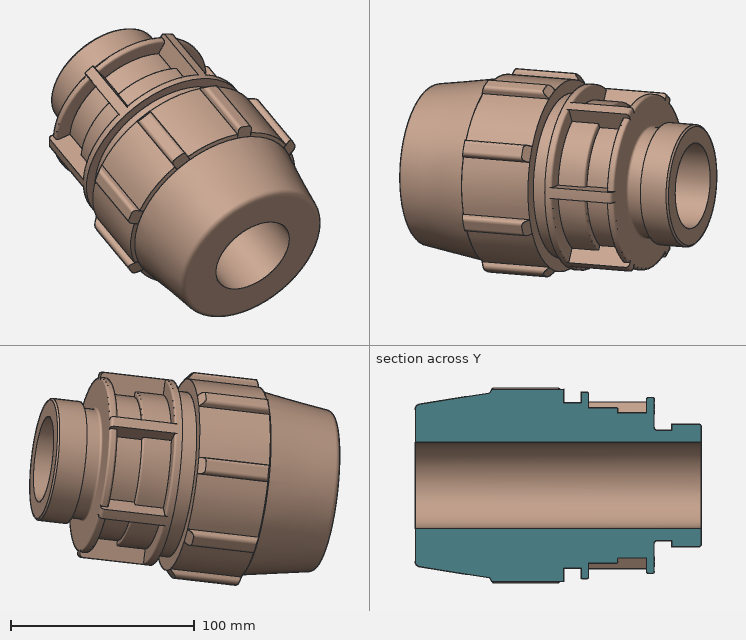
import cadquery as cq

total_length = 156.0
bore_diameter = 46.9

spigot_diameter = 67.0
spigot_length = 16.3
spigot_chamfer = 1.0
neck_diameter = 60.3
neck_root_diameter = 63.0

front_flange_start = 25.6
front_flange_end = 30.0
front_flange_diameter = 96.0
core_small_diameter = 79.2
core_step_position = 45.5
core_large_diameter = 84.8
core_step_fillet = 1.0
rear_flange_start = 61.4
rear_flange_end = 65.6
rear_flange_diameter = 101.7
flange_fillet = 1.2
cage_rib_count = 6
cage_rib_width = 6.0
cage_rib_fillet = 2.0
collar_diameter = 90.4

nut_start = 74.9
nut_cylinder_end = 114.4
nut_diameter = 105.0
nut_edge_width = 1.0
nut_edge_drop = 2.0
nut_tail_diameter = 88.0
nut_tail_fillet = 3.0

grip_rib_count = 8
grip_rib_width = 9.0
grip_rib_radius = 56.41
grip_rib_corner = 2.2
grip_rib_front_slope = 3.5
grip_rib_rear_slope = 2.0


def disc(start, end, diameter):
    """Solid cylinder along X between two positions."""
    return cq.Workplane("YZ", origin=(start, 0, 0)).circle(diameter / 2).extrude(end - start)


def about_axis(shape, angle):
    """Copy of the shape turned about the X axis, in degrees."""
    return shape.rotate((0, 0, 0), (1, 0, 0), angle)


def make_neck_root():
    """Concave quarter-round collar blending the neck into the front flange."""
    neck_radius = neck_diameter / 2
    root_radius = neck_root_diameter / 2
    blend = root_radius - neck_radius
    profile = (
        cq.Workplane("XY")
        .moveTo(front_flange_start - blend, 0)
        .lineTo(front_flange_start - blend, neck_radius)
        .radiusArc((front_flange_start, root_radius), -blend)
        .lineTo(front_flange_start, 0)
        .close()
    )
    return profile.revolve(360, (0, 0, 0), (1, 0, 0))


def make_spigot():
    """Chamfered spigot with the narrower neck behind it."""
    spigot = disc(0, spigot_length, spigot_diameter).faces("<X").edges().chamfer(spigot_chamfer)
    neck = disc(spigot_length, front_flange_start, neck_diameter)
    return spigot.union(neck).union(make_neck_root())


def make_cage_blank():
    """Cage filled out to the rib tops, with its -X rim rounded."""
    blank = disc(front_flange_start, rear_flange_end, rear_flange_diameter)
    return blank.faces("<X").edges().fillet(cage_rib_fillet)


def make_cage_core():
    """Round body of the cage: both flanges and the stepped core, without ribs."""
    front_flange = disc(front_flange_start, front_flange_end, front_flange_diameter)
    front_flange = front_flange.edges().fillet(flange_fillet)
    small_core = disc(front_flange_start, core_step_position, core_small_diameter)
    large_core = disc(core_step_position, rear_flange_start, core_large_diameter)
    large_core = large_core.faces("<X").edges().fillet(core_step_fillet)
    rear_flange = disc(rear_flange_start, rear_flange_end, rear_flange_diameter)
    rear_flange = rear_flange.faces("<X").edges().fillet(flange_fillet)
    return front_flange.union(small_core).union(large_core).union(rear_flange)


def make_cage():
    """Cage with a window between each pair of neighbouring ribs."""
    blank = make_cage_blank()
    windows = blank.cut(make_cage_core())
    length = rear_flange_end - front_flange_start
    bar = (
        cq.Workplane("XY")
        .box(length, rear_flange_diameter, cage_rib_width, centered=(False, True, True))
        .translate((front_flange_start, 0, 0))
    )
    for index in range(cage_rib_count // 2):
        windows = windows.cut(about_axis(bar, index * 360 / cage_rib_count))
    collar = disc(rear_flange_end, nut_start, collar_diameter)
    return blank.cut(windows).union(collar)


def make_grip_rib():
    """One rounded rib pointing along +Z, with both ends sloping down to the nut."""
    rear_end = nut_cylinder_end + nut_edge_width
    foot_radius = nut_diameter / 2
    rear_foot_radius = foot_radius - nut_edge_drop
    side = (
        cq.Workplane("XZ")
        .moveTo(nut_start, 0)
        .lineTo(nut_start, foot_radius)
        .lineTo(nut_start + grip_rib_front_slope, grip_rib_radius)
        .lineTo(rear_end - grip_rib_rear_slope, grip_rib_radius)
        .lineTo(rear_end, rear_foot_radius)
        .lineTo(rear_end, 0)
        .close()
        .extrude(grip_rib_width / 2, both=True)
    )
    section = (
        cq.Workplane("XY")
        .box(rear_end - nut_start, grip_rib_width, grip_rib_radius, centered=(False, True, False))
        .translate((nut_start, 0, 0))
        .edges("|X and >Z")
        .fillet(grip_rib_corner)
    )
    return side.intersect(section)


def make_nut():
    """Nut cylinder with a tapering tail and evenly spaced grip ribs."""
    radius = nut_diameter / 2
    edge_end = nut_cylinder_end + nut_edge_width
    body = (
        cq.Workplane("XY")
        .moveTo(nut_start, 0)
        .lineTo(nut_start, radius)
        .lineTo(nut_cylinder_end, radius)
        .lineTo(edge_end, radius - nut_edge_drop)
        .lineTo(total_length, nut_tail_diameter / 2)
        .lineTo(total_length, 0)
        .close()
        .revolve(360, (0, 0, 0), (1, 0, 0))
        .faces(">X")
        .edges()
        .fillet(nut_tail_fillet)
    )
    rib = make_grip_rib()
    for index in range(grip_rib_count):
        angle = (index + 0.5) * 360 / grip_rib_count
        body = body.union(about_axis(rib, angle))
    return body


def make_coupling():
    """Spigot, cage and nut joined on one axis and bored through."""
    body = make_spigot().union(make_cage()).union(make_nut())
    return body.cut(disc(0, total_length, bore_diameter))


result = make_coupling()